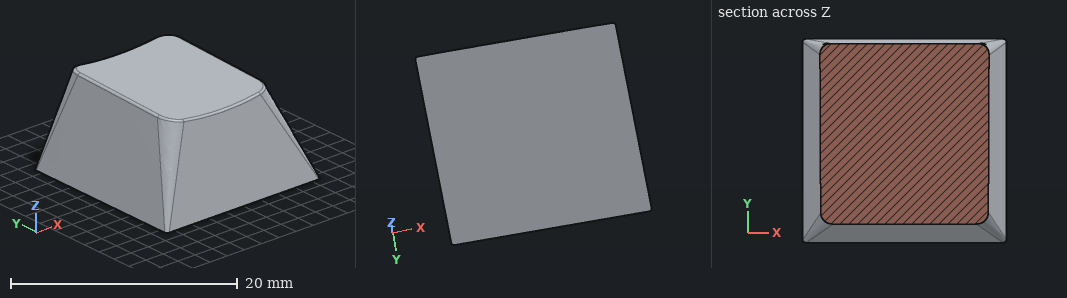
import cadquery as cq

base_side = 18.0
base_corner_radius = 0.27

top_width = 11.77
top_depth = 13.99
top_corner_radius = 1.75
top_center_y = 1.19
top_center_z = 9.36
top_tilt = 2.0

dish_radius = 32.4
dish_drop = 0.75
dish_length = 2 * base_side

rim_fillet = 0.27


def rounded_rectangle(width, depth, corner_radius):
    return cq.Sketch().rect(width, depth).vertices().fillet(corner_radius)


def on_leaning_top(height):
    """Location in the leaning top frame, offset along the top's normal."""
    top_frame = cq.Location(cq.Vector(0, top_center_y, top_center_z), cq.Vector(1, 0, 0), top_tilt)
    return top_frame * cq.Location(cq.Vector(0, 0, height))


def tapered_body():
    base = rounded_rectangle(base_side, base_side, base_corner_radius)
    top = rounded_rectangle(top_width, top_depth, top_corner_radius)
    return cq.Workplane().placeSketch(base, top.moved(on_leaning_top(0))).loft(ruled=True)


def dish_cutter():
    cylinder = cq.Workplane("XZ").circle(dish_radius).extrude(dish_length / 2, both=True)
    return cylinder.val().moved(on_leaning_top(dish_radius - dish_drop))


body = tapered_body().cut(cq.Workplane(dish_cutter()))

result = body.faces(">Z").edges().fillet(rim_fillet)